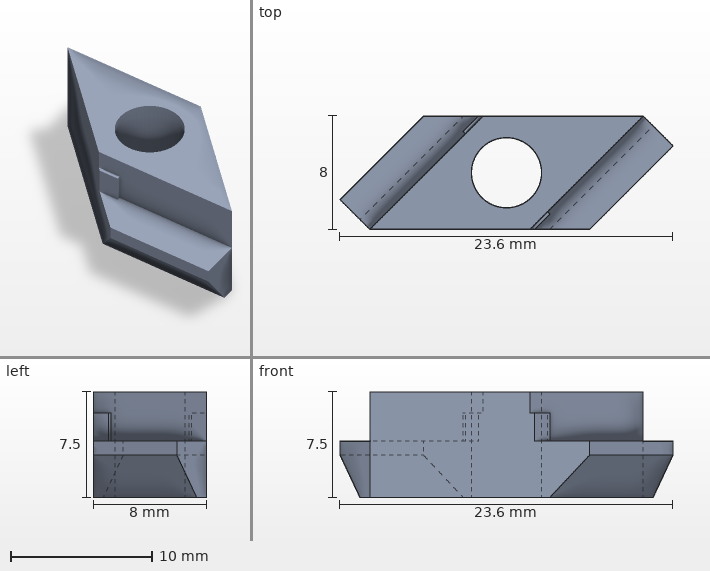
import cadquery as cq
import math

length = 23.55
width = 8.0
height = 7.5
neck_width = 8.0
flange_top = 4.0
flange_lip = 1.0
flank_inset = 2.0
hole_diameter = 4.95
rib_thickness = 0.24
rib_height = 2.0
rib_length = 1.77
wall_angle = 45.0

half_neck = neck_width / 2
flank_top = flange_top - flange_lip

angle = math.radians(wall_angle)
side_offset = width / 2 / math.sin(angle)
wall_shift = half_neck / math.tan(angle)
wall_end = wall_shift + side_offset
wall_start = wall_shift - side_offset

half_flange = (length / 2 - wall_end * math.cos(angle)) / math.sin(angle)
half_bottom = half_flange - flank_inset


def t_profile_bar():
    """Inverted T with tapered flanks; its square ends form the flange ends."""
    right_side = [
        (half_bottom, 0),
        (half_flange, flank_top),
        (half_flange, flange_top),
        (half_neck, flange_top),
        (half_neck, height),
    ]
    left_side = [(-x, z) for x, z in reversed(right_side)]
    return (
        cq.Workplane("XZ")
        .polyline(right_side + left_side)
        .close()
        .extrude(wall_end, both=True)
    )


def wall_rib():
    """Thin rib on the +X wall, standing on the flange."""
    rib_end = wall_start + rib_length
    rib_start = wall_start - rib_thickness
    return (
        cq.Workplane("XY")
        .box(half_neck + rib_thickness, rib_end - rib_start, rib_height, centered=False)
        .translate((0, rib_start, flange_top))
    )


rib = wall_rib()
opposite_rib = rib.rotate((0, 0, 0), (0, 0, 1), 180)
bar = t_profile_bar().union(rib).union(opposite_rib)

turned_bar = bar.rotate((0, 0, 0), (0, 0, 1), wall_angle - 90)
trim_length = 4 * wall_end
trim_slab = cq.Workplane("XY").box(trim_length, width, height, centered=(True, True, False))
hole = cq.Workplane("XY").circle(hole_diameter / 2).extrude(height)

result = turned_bar.intersect(trim_slab).cut(hole)